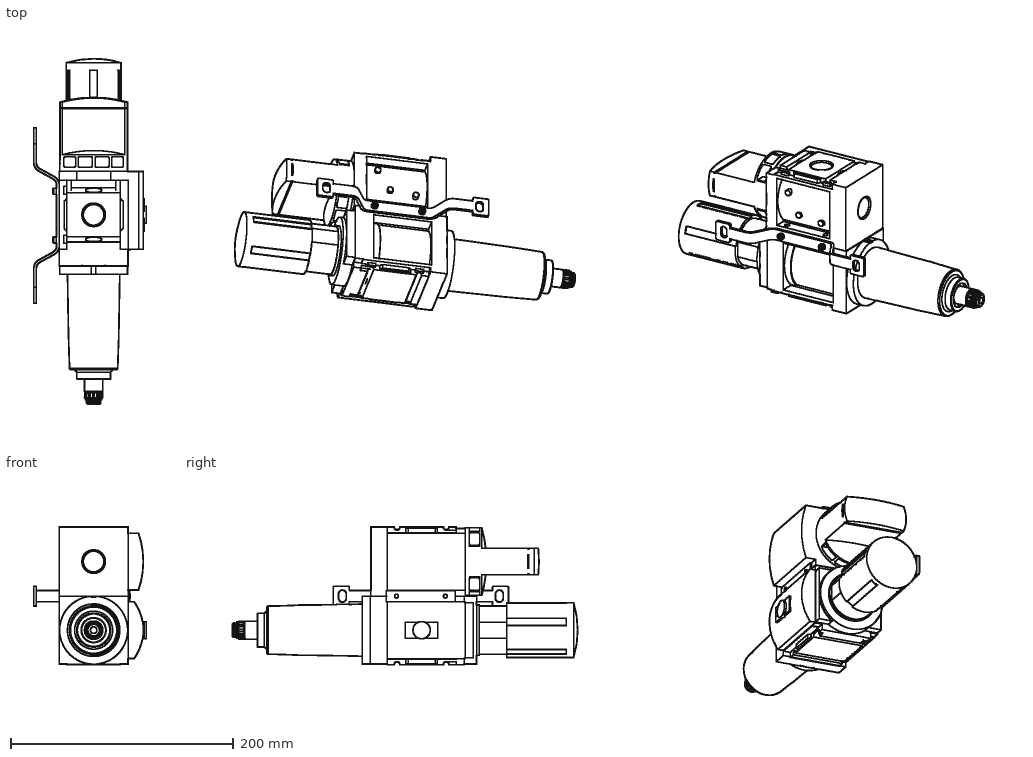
import cadquery as cq
import math


overall_width = 101.5
overall_length = 311.0
body_width = 62.0
half_width = body_width / 2
module_height = 62.2
upper_axis_z = module_height / 2
lower_bottom_z = -62.0
lower_end_z = -61.3
lower_axis_z = lower_end_z / 2

upper_front_y = -45.7
lower_front_y = -46.5
upper_back_y = 39.2
lower_back_y = 38.3

rail_half_length = 31.0
rail_drop = 5.0
plate_width = 48.2
plate_half_width = plate_width / 2
plate_corner_width = 4.0
groove_y = 22.0
groove_width = 4.7
groove_depth = 2.8
lug_reach = 2.5
lug_half_length = 14.3
lug_drop = 1.2
lug_chamfer = 2.2
groove_end_reach = 2.8
groove_end_length = 7.2
groove_end_drop = 2.5

window_height = 46.0
upper_window_depth = 11.0
upper_insert_radius = 29.2
lower_window_depth = 12.5
lower_insert_radius = 28.0
upper_window_y = (-28.3, 28.0)
lower_window_y = (-32.0, 21.2)
insert_rim_y = 14.5
insert_rim_radius = 29.0
stud_diameter = 5.3
stud_end_x = -30.0
stud_places = [(17.0, 42.0), (5.5, 22.7), (-18.0, 20.2)]

ledge_hole_diameter = 4.5
ledge_hole_depth = 3.0
ledge_hole_x = -25.5
ledge_hole_y = 20.5

port_diameter = 18.7
port_mouth_diameter = 21.2
port_depth = 15.5
port_chamfer = (port_mouth_diameter - port_diameter) / 2

cover_y = (-31.0, 39.2)
cover_height = 51.3
cover_half_height = cover_height / 2
back_drop = upper_axis_z - cover_half_height
cover_gap_half_height = -lower_axis_z - cover_half_height
cover_crown_x = 44.8
upper_cover_edge_x = 40.5
lower_cover_edge_x = 36.5

gauge_plate_half_length = 14.5
gauge_plate_half_height = 7.2
gauge_plate_x = 45.7
gauge_knob_diameter = 15.5

rotor_radius = 30.5
rotor_seat_radius = 30.0
rotor_rim_y = 54.0
rotor_crown_y = 58.5
grip_thickness = 24.0
grip_rim_y = 101.5
grip_crown_y = 105.8
grip_groove_y = 96.0
grip_groove_width = 1.0
grip_groove_depth = 0.5
pocket_y = (43.0, 52.3)
pocket_floor = 13.7
pocket_corner_radius = 1.2
pocket_spans = [(1.2, 14.0), (16.2, 26.8)]

knob_diameter = 49.5
knob_radius = knob_diameter / 2
knob_y = (76.5, 137.0)
bowl_tip_y = -170.5
knob_crown_y = bowl_tip_y + overall_length
flute_count = 5
flute_width = 7.0
flute_depth = 1.2
flute_end_y = 130.5
neck_radius = 21.8
neck_flat_x = 20.5
neck_flange_radius = 22.7
neck_flange_y = 52.0
collar_diameter = 61.3
collar_radius = collar_diameter / 2
collar_y = 49.5
collar_block_y = 46.5
collar_block_half_height = 25.0

ring_end_y = -53.5
ring_slot_width = 4.0
ring_slot_depth = 1.0
stem_diameter = 16.5
stem_radius = stem_diameter / 2
knurl_y = (-164.5, -160.2)
knurl_count = 12
knurl_notch_width = 1.5
knurl_notch_depth = 1.0
bowl_outline = [
    (23.5, ring_end_y), (22.7, -109.8), (21.8, -138.0), (21.0, -139.5), (17.0, -139.5), (16.2, -140.5),
    (15.2, -141.5), (15.2, -147.5), (14.5, -148.0), (11.2, -148.0), (11.0, -146.5),
    (stem_radius, -146.5), (stem_radius, -159.0), (7.2, -159.0),
    (7.2, knurl_y[1]), (stem_radius, knurl_y[1]), (stem_radius, knurl_y[0]), (7.5, -165.0),
    (7.5, -166.5), (6.0, -166.5), (6.0, -167.7), (6.5, -168.0), (6.5, -169.3), (5.3, bowl_tip_y),
]
drain_diameter = 6.0
drain_depth = 9.3

joint_y = -0.5
bracket_thickness = 2.5
bracket_height = 10.3
bracket_offset = 20.5
bracket_reach = half_width + bracket_offset + bracket_thickness
bend_inner_y = 32.7
bend_outer_y = 44.0
bracket_end_y = 79.0
tab_length = 14.5
tab_half_height = 9.0
tab_corner_radius = 1.5
slot_width = 7.0
slot_height = 10.5
slot_y = 70.5
bend_radius = 6.2
strip_thickness = 1.5
screw_spacing = 44.0
screw_y = screw_spacing / 2
screw_diameter = 3.5
screw_head_diameter = 5.5
screw_head_x = -36.7
screw_tip_x = 33.0
screw_head_chamfer = 0.5
socket_diameter = 3.0
socket_depth = 2.0


def block(x, y, z):
    """Box from its (low, high) limits along each axis."""
    return (
        cq.Workplane("XY")
        .box(x[1] - x[0], y[1] - y[0], z[1] - z[0], centered=False)
        .translate((x[0], y[0], z[0]))
    )


def rod_y(radius, y, axis_z):
    """Cylinder along Y at X = 0."""
    return cq.Workplane("XZ", origin=(0, y[0], axis_z)).circle(radius).extrude(y[0] - y[1])


def rod_x(diameter, x, y, z):
    """Cylinder along X."""
    return cq.Workplane("YZ", origin=(x[0], y, z)).circle(diameter / 2).extrude(x[1] - x[0])


def domed_rod(radius, start_y, rim_y, crown_y, axis_z):
    """Cylinder along Y whose far end is a shallow dome."""
    mid_radius = radius / 2
    rise = crown_y - rim_y
    dome_radius = (radius**2 + rise**2) / (2 * rise)
    mid_y = crown_y - dome_radius + math.sqrt(dome_radius**2 - mid_radius**2)
    return (
        cq.Workplane("XY")
        .moveTo(0, start_y)
        .lineTo(radius, start_y)
        .lineTo(radius, rim_y)
        .threePointArc((mid_radius, mid_y), (0, crown_y))
        .close()
        .revolve(360, (0, 0, 0), (0, 1, 0))
        .translate((0, 0, axis_z))
    )


def mounting_plate():
    """Coupling plate with its outer face at Z = 0: grooves, side lugs and groove ends."""
    plate = block(
        (-plate_half_width, plate_half_width), (-rail_half_length, rail_half_length), (-rail_drop, 0)
    )
    corner_length = rail_half_length - groove_y
    for side in (-1, 1):
        corner = cq.Workplane("XY").box(plate_corner_width, 2 * corner_length, 2 * groove_depth)
        corner_x = side * (plate_half_width - plate_corner_width / 2)
        plate = plate.cut(corner.translate((corner_x, rail_half_length, 0)))
    lugs = (
        cq.Workplane("XY", origin=(0, 0, -lug_drop))
        .rect(2 * (plate_half_width + lug_reach), 2 * lug_half_length)
        .extrude(lug_drop - rail_drop)
        .edges("|Z")
        .chamfer(lug_chamfer)
    )
    plate = plate.union(lugs)
    for side in (-1, 1):
        groove = (
            cq.Workplane("YZ", origin=(-plate_half_width, side * groove_y, 0))
            .moveTo(-groove_width / 2, 0)
            .threePointArc((0, -groove_depth), (groove_width / 2, 0))
            .close()
            .extrude(2 * plate_half_width)
        )
        groove_end = block(
            (-plate_half_width - groove_end_reach, -plate_half_width),
            (side * groove_y - groove_end_length / 2, side * groove_y + groove_end_length / 2),
            (-rail_drop, -groove_end_drop),
        )
        plate = plate.cut(groove).union(groove_end)
    return plate


def mounting_face_cut(back_y):
    """Material removed around the coupling plate of a face at Z = 0 that points up."""
    sides = (-2 * half_width, 2 * half_width)
    rails = block(sides, (-rail_half_length, rail_half_length), (-rail_drop, rail_drop))
    back = block(sides, (rail_half_length, back_y), (-back_drop, back_drop))
    return rails.cut(mounting_plate()).union(back)


def window(y, axis_z, depth):
    """Rectangular pocket in the -X side."""
    half = window_height / 2
    return block((-half_width, depth - half_width), y, (axis_z - half, axis_z + half))


def port():
    """Port with a chamfered mouth: mouth at the origin, opening towards +Z."""
    bore = cq.Workplane("XY").circle(port_diameter / 2).extrude(-port_depth)
    mouth = cq.Workplane("XY").circle(port_mouth_diameter / 2).extrude(-port_chamfer, taper=45)
    return bore.union(mouth)


def side_cover(axis_z, edge_x):
    """Cover on the +X side with a rounded outer face."""
    low = axis_z - cover_half_height
    high = axis_z + cover_half_height
    return (
        cq.Workplane("XZ", origin=(0, cover_y[1], 0))
        .moveTo(half_width, low)
        .lineTo(edge_x, low)
        .threePointArc((cover_crown_x, axis_z), (edge_x, high))
        .lineTo(half_width, high)
        .close()
        .extrude(cover_y[1] - cover_y[0])
    )


def make_rotary_knob():
    """Domed rotor with pockets, carrying a slab-shaped grip."""
    rotor = domed_rod(rotor_radius, upper_back_y, rotor_rim_y, rotor_crown_y, 0)
    rotor = rotor.union(rod_y(rotor_seat_radius, (rail_half_length, upper_back_y), 0))
    for low, high in pocket_spans:
        for x in ((low, high), (-high, -low)):
            pocket = block(x, pocket_y, (pocket_floor, half_width)).edges("|Z").fillet(pocket_corner_radius)
            rotor = rotor.cut(pocket).cut(pocket.mirror("XY"))
    grip = domed_rod(rotor_radius, upper_back_y, grip_rim_y, grip_crown_y, 0)
    slab = cq.Workplane("XY").box(3 * rotor_radius, 3 * grip_crown_y, grip_thickness)
    groove_y_span = (grip_groove_y - grip_groove_width / 2, grip_groove_y + grip_groove_width / 2)
    core = cq.Workplane("XY").box(
        2 * (rotor_radius - grip_groove_depth), 3 * grip_crown_y, grip_thickness - 2 * grip_groove_depth
    )
    groove = rod_y(2 * rotor_radius, groove_y_span, 0).cut(core)
    return rotor.union(grip.intersect(slab).cut(groove))


def make_pressure_knob():
    """Fluted knob on a neck with two flats, centred on the Y axis."""
    knob = domed_rod(knob_radius, knob_y[0], knob_y[1], knob_crown_y, 0)
    flute = block(
        (-flute_width / 2, flute_width / 2), (knob_y[0], flute_end_y),
        (knob_radius - flute_depth, half_width),
    )
    for i in range(flute_count):
        knob = knob.cut(flute.rotate((0, 0, 0), (0, 1, 0), i * 360 / flute_count))
    neck_span = (lower_back_y, knob_y[0])
    neck = rod_y(neck_radius, neck_span, 0).intersect(
        block((-neck_flat_x, neck_flat_x), neck_span, (-neck_radius, neck_radius))
    )
    flange = rod_y(neck_flange_radius, (lower_back_y, neck_flange_y), 0)
    return knob.union(neck).union(flange)


def make_bowl():
    """Tapered bowl with its drain nozzle, and the slotted ring that holds it."""
    bowl = cq.Workplane("XY").moveTo(0, ring_end_y)
    for radius, y in bowl_outline:
        bowl = bowl.lineTo(radius, y)
    bowl = bowl.lineTo(0, bowl_tip_y).close().revolve(360, (0, 0, 0), (0, 1, 0))
    bowl = bowl.cut(rod_y(drain_diameter / 2, (bowl_tip_y, bowl_tip_y + drain_depth), 0))
    notch = block(
        (-knurl_notch_width / 2, knurl_notch_width / 2), knurl_y,
        (stem_radius - knurl_notch_depth, 2 * stem_radius),
    )
    for i in range(knurl_count):
        bowl = bowl.cut(notch.rotate((0, 0, 0), (0, 1, 0), i * 360 / knurl_count))
    ring = rod_y(collar_radius, (ring_end_y, lower_front_y), 0)
    slot = block(
        (-ring_slot_width / 2, ring_slot_width / 2), (ring_end_y, lower_front_y),
        (collar_radius - ring_slot_depth, collar_radius),
    )
    return ring.cut(slot).union(bowl)


def screw_holes():
    """Through holes along X at the joint, half in each module."""
    holes = rod_x(screw_diameter, (-half_width, half_width), screw_y, 0)
    holes = holes.union(rod_x(screw_diameter, (-half_width, half_width), -screw_y, 0))
    return holes.translate((0, joint_y, 0))


def make_upper_module():
    """Valve module: body, window with insert and studs, rotary knob, cover and ports."""
    body = block((-half_width, half_width), (upper_front_y, upper_back_y), (0, module_height))
    body = body.cut(mounting_face_cut(upper_back_y).translate((0, 0, module_height)))
    body = body.cut(window(upper_window_y, upper_axis_z, upper_window_depth))
    body = body.union(rod_y(upper_insert_radius, upper_window_y, upper_axis_z))
    for y, z in stud_places:
        body = body.union(rod_x(stud_diameter, (stud_end_x, 0), y, z))
    sill_z = upper_axis_z - window_height / 2
    for y in (-ledge_hole_y, ledge_hole_y):
        hole = cq.Workplane("XY", origin=(ledge_hole_x, y, sill_z)).circle(ledge_hole_diameter / 2)
        body = body.cut(hole.extrude(-ledge_hole_depth))
    body = body.union(make_rotary_knob().translate((0, 0, upper_axis_z)))
    body = body.union(side_cover(upper_axis_z, upper_cover_edge_x))
    body = body.cut(port().translate((0, 0, module_height)))
    front_port = port().rotate((0, 0, 0), (1, 0, 0), 90).translate((0, upper_front_y, upper_axis_z))
    return body.cut(front_port).cut(screw_holes())


def make_lower_module():
    """Regulator module: body, window with insert, pressure knob, bowl, cover and gauge."""
    body = block((-half_width, half_width), (lower_front_y, lower_back_y), (lower_bottom_z, 0))
    face_cut = mounting_face_cut(lower_back_y).mirror("XY").translate((0, 0, lower_bottom_z))
    body = body.cut(face_cut)
    front_step = block(
        (-half_width, half_width), (lower_front_y, -rail_half_length), (lower_bottom_z, lower_end_z)
    )
    knob_seat = block(
        (-plate_half_width, plate_half_width),
        (rail_half_length, lower_back_y),
        (lower_bottom_z, lower_axis_z),
    )
    body = body.union(knob_seat).cut(front_step)
    body = body.cut(window(lower_window_y, lower_axis_z, lower_window_depth))
    body = body.union(rod_y(lower_insert_radius, lower_window_y, lower_axis_z))
    body = body.union(rod_y(insert_rim_radius, (insert_rim_y, lower_window_y[1]), lower_axis_z))
    collar = rod_y(collar_radius, (lower_back_y, collar_y), lower_axis_z)
    collar_block = block(
        (-collar_radius, collar_radius),
        (lower_back_y, collar_block_y),
        (lower_axis_z - collar_block_half_height, lower_axis_z + collar_block_half_height),
    )
    body = body.union(collar).union(collar_block)
    body = body.union(make_pressure_knob().translate((0, 0, lower_axis_z)))
    body = body.union(make_bowl().translate((0, 0, lower_axis_z)))
    body = body.union(side_cover(lower_axis_z, lower_cover_edge_x))
    gauge_knob_x = overall_width - bracket_reach
    gauge_plate = block(
        (half_width, gauge_plate_x),
        (-gauge_plate_half_length, gauge_plate_half_length),
        (lower_axis_z - gauge_plate_half_height, lower_axis_z + gauge_plate_half_height),
    )
    body = body.union(gauge_plate)
    body = body.union(rod_x(gauge_knob_diameter, (half_width, gauge_knob_x), 0, lower_axis_z))
    return body.cut(screw_holes())


def bends(bracket, *bend_x):
    """Vertical bend edges of the bracket that lie at one of the given X positions."""
    half_thickness = bracket_thickness / 2
    return bracket.edges("|Z").filter(
        lambda edge: abs(edge.Center().y) < (bend_outer_y + bracket_end_y) / 2
        and any(abs(edge.Center().x - x) < half_thickness for x in bend_x)
    )


def make_bracket():
    """Strip on the -X side whose two arms bend outwards to slotted tabs."""
    near_x = -half_width
    far_x = near_x - bracket_offset
    near_back_x = near_x - bracket_thickness
    far_back_x = far_x - bracket_thickness
    bend_angle = math.atan2(bracket_offset, bend_outer_y - bend_inner_y)
    back_shift = bracket_thickness * math.tan(bend_angle / 2)
    upper_half = [
        (near_x, bend_inner_y), (far_x, bend_outer_y), (far_x, bracket_end_y),
        (far_back_x, bracket_end_y), (far_back_x, bend_outer_y - back_shift),
        (near_back_x, bend_inner_y - back_shift),
    ]
    lower_half = [(x, -y) for x, y in reversed(upper_half)]
    bracket = (
        cq.Workplane("XY", origin=(0, 0, -tab_half_height))
        .polyline(upper_half + lower_half)
        .close()
        .extrude(2 * tab_half_height)
    )
    bracket = bends(bracket, near_x, far_back_x).fillet(bend_radius + bracket_thickness)
    bracket = bends(bracket, near_back_x, far_x).fillet(bend_radius)
    side = (
        cq.Workplane("YZ", origin=(2 * far_x, 0, 0))
        .rect(2 * bracket_end_y, bracket_height)
        .extrude(-2 * far_x)
    )
    for end in (-1, 1):
        tab = (
            cq.Workplane("YZ", origin=(2 * far_x, end * (bracket_end_y - tab_length / 2), 0))
            .rect(tab_length, 2 * tab_half_height)
            .extrude(-2 * far_x)
            .edges("|X")
            .fillet(tab_corner_radius)
        )
        side = side.union(tab)
    bracket = bracket.intersect(side)
    for end in (-1, 1):
        slot = (
            cq.Workplane("YZ", origin=(2 * far_x, end * slot_y, 0))
            .slot2D(slot_height, slot_width, 90)
            .extrude(-2 * far_x)
        )
        bracket = bracket.cut(slot).cut(rod_x(screw_diameter, (2 * far_x, 0), end * screw_y, 0))
    return bracket.translate((0, joint_y, 0))


def make_clamp_strip():
    """Flat strip on the +X side, opposite the bracket."""
    strip_outer_x = half_width + strip_thickness
    strip = block(
        (half_width, strip_outer_x),
        (-rail_half_length, rail_half_length),
        (-cover_gap_half_height, cover_gap_half_height),
    )
    for y in (-screw_y, screw_y):
        strip = strip.cut(rod_x(screw_diameter, (half_width, strip_outer_x), y, 0))
    return strip.translate((0, joint_y, 0))


def make_screw(y):
    """Socket-head screw along X."""
    seat_x = -half_width - bracket_thickness
    head = rod_x(screw_head_diameter, (screw_head_x, seat_x), y, 0)
    head = head.faces("<X").chamfer(screw_head_chamfer)
    shank = rod_x(screw_diameter, (seat_x, screw_tip_x), y, 0)
    socket = rod_x(socket_diameter, (screw_head_x, screw_head_x + socket_depth), y, 0)
    return head.union(shank).cut(socket).translate((0, joint_y, 0))


upper_module = make_upper_module()
lower_module = make_lower_module()
bracket = make_bracket()
clamp_strip = make_clamp_strip()
screws = [make_screw(y) for y in (-screw_y, screw_y)]

result = cq.Compound.makeCompound(
    [upper_module.val(), lower_module.val(), bracket.val(), clamp_strip.val()]
    + [screw.val() for screw in screws]
)